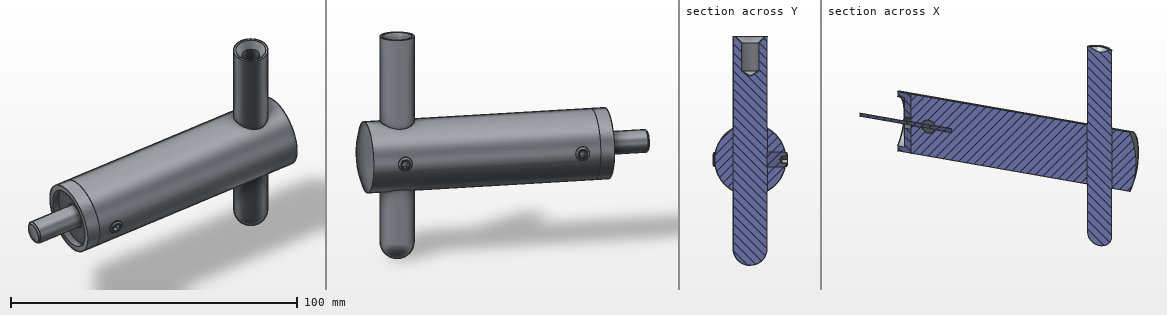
import cadquery as cq
import math

overall_length = 103.6

body_diameter = 25.0
body_radius = body_diameter / 2
cap_thickness = 5.0
dome_start_y = 86.4
dome_height = 2.6
recess_diameter = 21.0
recess_depth = 2.5
cap_hole_diameter = 9.0

pin_diameter = 8.0
pin_chamfer = 0.6
pin_tip_y = dome_start_y + dome_height - overall_length
pin_seat_y = 20.0

bar_diameter = 12.0
bar_radius = bar_diameter / 2
bar_y = 75.1
bar_top_z = 43.0
bar_bottom_z = -37.0
bar_hole_diameter = 6.0
bar_hole_depth = 12.0
bar_hole_tip_angle = 118
countersink_diameter = 10.5

screw_diameter = 5.0
screw_face_diameter = 3.4
screw_chamfer_width = (screw_diameter - screw_face_diameter) / 2
screw_chamfer_depth = 0.4
hex_across_flats = 2.5
hex_depth = 2.0
pin_screw_y = 11.5
face_reach_long = 13.1
face_reach_short = 13.0

screw_places = [
    (-1, bar_y, face_reach_long, bar_radius),
    (-1, pin_screw_y, face_reach_short, pin_diameter / 2),
    (1, pin_screw_y, face_reach_long, pin_diameter / 2),
]


def cylinder_along_y(diameter, start_y, end_y):
    return cq.Workplane("XZ", origin=(0, start_y, 0)).circle(diameter / 2).extrude(start_y - end_y)


def cylinder_along_z(diameter, start_z, end_z):
    return (
        cq.Workplane("XY", origin=(0, bar_y, start_z))
        .circle(diameter / 2)
        .extrude(end_z - start_z)
    )


def screw_plane(side, y):
    """Plane through the handle axis, its normal pointing out of the screw hole."""
    return cq.Workplane(cq.Plane(origin=(0, y, 0), xDir=(0, 1, 0), normal=(side, 0, 0)))


def make_body():
    dome_radius = (body_radius**2 + dome_height**2) / (2 * dome_height)
    half_angle = math.asin(body_radius / dome_radius) / 2
    dome_middle = (
        dome_radius * math.sin(half_angle),
        dome_start_y + dome_height - dome_radius * (1 - math.cos(half_angle)),
    )
    body = (
        cq.Workplane("XY")
        .moveTo(0, cap_thickness)
        .lineTo(body_radius, cap_thickness)
        .lineTo(body_radius, dome_start_y)
        .threePointArc(dome_middle, (0, dome_start_y + dome_height))
        .close()
        .revolve(360, (0, 0, 0), (0, 1, 0))
    )
    body = body.cut(cylinder_along_y(pin_diameter, cap_thickness, pin_seat_y))
    body = body.cut(cylinder_along_z(bar_diameter, -body_radius, body_radius))
    for side, y, _, _ in screw_places:
        body = body.cut(screw_plane(side, y).circle(screw_diameter / 2).extrude(body_radius))
    return body


def make_cap():
    cap = cylinder_along_y(body_diameter, 0, cap_thickness)
    cap = cap.cut(cylinder_along_y(recess_diameter, 0, recess_depth))
    return cap.cut(cylinder_along_y(cap_hole_diameter, 0, cap_thickness))


def make_pin():
    return cylinder_along_y(pin_diameter, pin_tip_y, pin_seat_y).faces("<Y").chamfer(pin_chamfer)


def make_bar():
    """Cross bar with a hemispherical lower end and a countersunk blind hole on top."""
    ball_z = bar_bottom_z + bar_radius
    ball = cq.Workplane("XY", origin=(0, bar_y, ball_z)).sphere(bar_radius)
    bar = cylinder_along_z(bar_diameter, ball_z, bar_top_z).union(ball)

    hole_radius = bar_hole_diameter / 2
    countersink_radius = countersink_diameter / 2
    countersink_depth = countersink_radius - hole_radius
    tip_height = hole_radius / math.tan(math.radians(bar_hole_tip_angle / 2))
    hole = (
        cq.Workplane("XZ", origin=(0, bar_y, bar_top_z))
        .polyline([
            (0, 0),
            (countersink_radius, 0),
            (hole_radius, -countersink_depth),
            (hole_radius, -bar_hole_depth),
            (0, -bar_hole_depth - tip_height),
        ])
        .close()
        .revolve(360, (0, 0, 0), (0, 1, 0))
    )
    return bar.cut(hole)


def make_screw(side, y, face_reach, clamped_radius):
    """Set screw with a hexagon socket that ends in a cone."""
    chamfer_start = face_reach - screw_chamfer_depth
    screw_radius = screw_diameter / 2
    screw = (
        screw_plane(side, y)
        .workplane(offset=clamped_radius)
        .circle(screw_radius)
        .extrude(chamfer_start - clamped_radius)
    )
    chamfered_end = cq.Solid.makeCone(
        screw_radius,
        screw_radius - screw_chamfer_width,
        screw_chamfer_depth,
        pnt=cq.Vector(side * chamfer_start, y, 0),
        dir=cq.Vector(side, 0, 0),
    )
    screw = screw.union(cq.Workplane(chamfered_end))

    hex_across_corners = hex_across_flats / math.cos(math.pi / 6)
    socket = (
        screw_plane(side, y)
        .workplane(offset=face_reach)
        .polygon(6, hex_across_corners)
        .extrude(-hex_depth)
    )
    cone_radius = hex_across_flats / 2
    cone = cq.Solid.makeCone(
        cone_radius,
        0,
        cone_radius / math.sqrt(3),
        pnt=cq.Vector(side * (face_reach - hex_depth), y, 0),
        dir=cq.Vector(-side, 0, 0),
    )
    return screw.cut(socket).cut(cq.Workplane(cone))


body = make_body()
cap = make_cap()
pin = make_pin()
bar = make_bar()
screws = [make_screw(*place).val() for place in screw_places]

result = cq.Compound.makeCompound([body.val(), cap.val(), pin.val(), bar.val(), *screws])